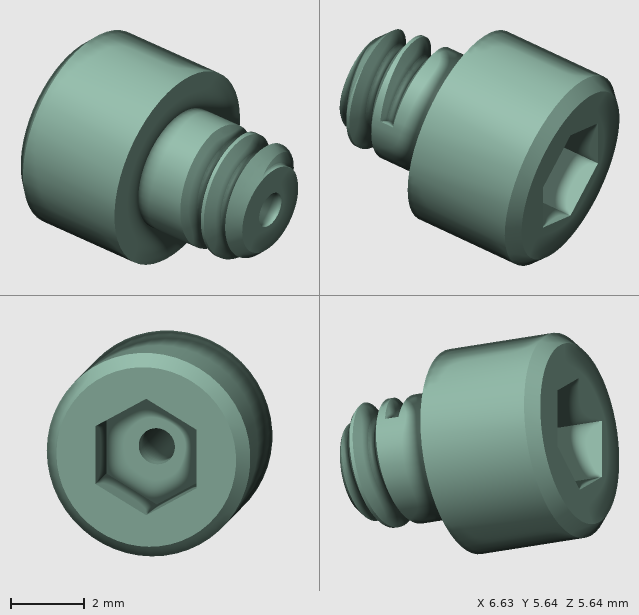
import cadquery as cq
import math

total_length = 6.63
head_length = 3.455
head_diameter = 5.64
head_chamfer = 0.33
socket_across_flats = 2.8
socket_depth = 1.5
bore_diameter = 1.0

thread_diameter = 3.5
pitch = 0.8
flank_angle = math.radians(30)
sharp_height = pitch / 2 / math.tan(flank_angle)
crest_flat = pitch / 8
root_radius = sharp_height / 6
groove_width = pitch - crest_flat
groove_depth = sharp_height * 7 / 8 - root_radius
thread_start = 4.695
runout_angle = 67.0

shank_radius = thread_diameter / 2
root_circle = shank_radius - groove_depth
groove_center = thread_start + groove_width / 2
overcut = 0.03


def groove_section():
    """Cutter section in the XZ plane: straight flanks joined by a round root."""
    top = shank_radius + overcut
    half_top = groove_width / 2 + overcut * math.tan(flank_angle)
    half_root = root_radius * math.cos(flank_angle)
    tangent_height = root_circle + root_radius * (1 - math.sin(flank_angle))
    return (
        cq.Workplane("XZ")
        .moveTo(groove_center - half_top, top)
        .lineTo(groove_center - half_root, tangent_height)
        .threePointArc((groove_center, root_circle), (groove_center + half_root, tangent_height))
        .lineTo(groove_center + half_top, top)
        .close()
    )


def full_depth_groove():
    """Sweep the section from its start on the +Z side past the tip."""
    length = total_length + pitch - groove_center
    helix = (
        cq.Wire.makeHelix(pitch, length, root_circle)
        .rotate(cq.Vector(0, 0, 0), cq.Vector(0, 1, 0), 90)
        .rotate(cq.Vector(0, 0, 0), cq.Vector(1, 0, 0), 180)
        .translate(cq.Vector(groove_center, 0, 0))
    )
    return groove_section().sweep(cq.Workplane(helix), isFrenet=True)


def runout_groove():
    """Continue the groove backwards, rising so that its head-side edge stays at one X."""
    section_count = 7
    section = groove_section().wires().val()
    sections = []
    for index in range(section_count):
        angle = runout_angle * index / (section_count - 1)
        retreat = pitch * angle / 360
        rise = retreat / math.tan(flank_angle)
        moved = section.translate(cq.Vector(-retreat, 0, rise))
        sections.append(moved.rotate(cq.Vector(0, 0, 0), cq.Vector(1, 0, 0), -angle))
    return cq.Workplane(cq.Solid.makeLoft(sections))


head = cq.Workplane("YZ").circle(head_diameter / 2).extrude(head_length)
head = head.faces("<X").chamfer(head_chamfer)

shank = cq.Workplane("YZ").workplane(offset=head_length).circle(shank_radius)
shank = shank.extrude(total_length - head_length)
chamfered_envelope = shank.faces(">X").chamfer(groove_depth)
shank = shank.cut(full_depth_groove()).cut(runout_groove()).intersect(chamfered_envelope)

socket_across_corners = socket_across_flats / math.cos(math.radians(30))
socket = (
    cq.Workplane("YZ")
    .transformed(rotate=(0, 0, 90))
    .polygon(6, socket_across_corners)
    .extrude(socket_depth)
)
bore = cq.Workplane("YZ").circle(bore_diameter / 2).extrude(total_length)

result = head.union(shank).cut(socket).cut(bore)